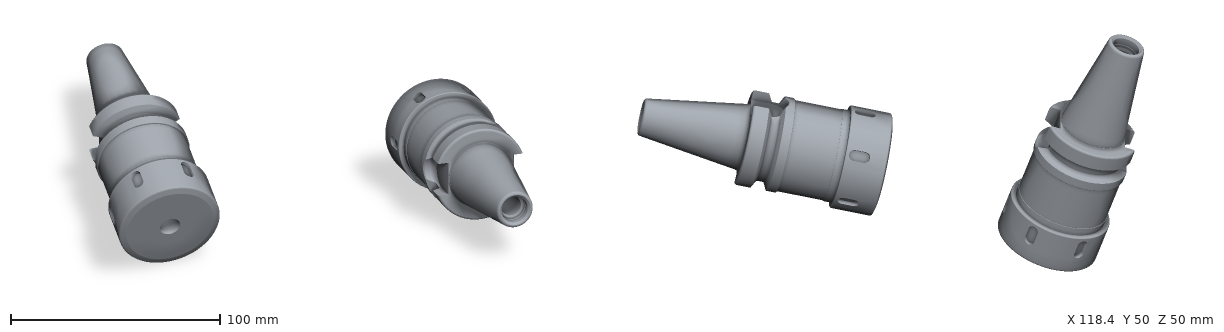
import cadquery as cq
import math

TAPER_END = 49.4
FLANGE_START = 50.3
FRONT_FLANGE_END = 58.0
GROOVE_START = 60.1
GROOVE_END = 63.9
REAR_FLANGE_START = 66.0
REAR_FLANGE_END = 70.6
COLLAR_START = 93.7
NUT_START = 97.5
TOTAL_LENGTH = 118.4

TAPER_SMALL_DIA = 17.9
TAPER_LARGE_DIA = 32.0
NECK_DIA = 32.2
FLANGE_DIA = 46.0
GROOVE_DIA = 38.4
BODY_DIA = 44.4
COLLAR_DIA = 45.0
NUT_DIA = 50.0

TIP_FILLET = 1.4
NECK_FILLET = 0.5
GROOVE_FILLET = 0.5
FLANGE_FILLET = 1.2
REAR_FLANGE_FILLET = 0.5
NUT_BACK_FILLET = 0.5
NUT_FRONT_FILLET = 1.0
NUT_FRONT_DIA = 43.1
NUT_FRONT_SLOPE = 15.0

THROUGH_DIA = 10.1
MOUTH_DIA = 15.3
COUNTERBORE_DIA = 13.1
THREAD_DIA = 12.5
DRILL_MOUTH_DIA = 11.7
COUNTERBORE_END = 4.5
THREAD_END = 5.9

DRIVE_SLOT_WIDTH = 16.3
DRIVE_SLOT_TIP = 67.4
DRIVE_SLOT_FLOOR = 16.3
DRIVE_SLOT_CHAMFER = 0.5

WRENCH_SLOT_COUNT = 6
WRENCH_SLOT_LENGTH = 10.2
WRENCH_SLOT_WIDTH = 5.2
WRENCH_SLOT_DEPTH = 2.1
WRENCH_SLOT_CENTER = 104.2


def revolve_about_x(outline):
    """Turn a closed XY outline about the X axis."""
    return outline.close().revolve(360, (0, 0, 0), (1, 0, 0))


def edges_between(start, end, reach):
    """Select edges lying between two X stations and no further than reach from the axis along Y and Z."""
    margin = 0.01
    half = reach + margin
    return cq.selectors.BoxSelector(
        (start - margin, -half, -half), (end + margin, half, half), boundingbox=True
    )


def holder_blank():
    """Taper, V-groove flange, cylindrical body and collar."""
    outline = (
        cq.Workplane("XY")
        .moveTo(0, 0)
        .lineTo(0, TAPER_SMALL_DIA / 2)
        .lineTo(TAPER_END, TAPER_LARGE_DIA / 2)
        .lineTo(TAPER_END, NECK_DIA / 2)
        .lineTo(FLANGE_START - NECK_FILLET, NECK_DIA / 2)
        .radiusArc((FLANGE_START, NECK_DIA / 2 + NECK_FILLET), -NECK_FILLET)
        .lineTo(FLANGE_START, FLANGE_DIA / 2 - FLANGE_FILLET)
        .radiusArc((FLANGE_START + FLANGE_FILLET, FLANGE_DIA / 2), FLANGE_FILLET)
        .lineTo(FRONT_FLANGE_END, FLANGE_DIA / 2)
        .lineTo(GROOVE_START, GROOVE_DIA / 2)
        .lineTo(GROOVE_END, GROOVE_DIA / 2)
        .lineTo(REAR_FLANGE_START, FLANGE_DIA / 2)
        .lineTo(REAR_FLANGE_END - REAR_FLANGE_FILLET, FLANGE_DIA / 2)
        .radiusArc((REAR_FLANGE_END, FLANGE_DIA / 2 - REAR_FLANGE_FILLET), REAR_FLANGE_FILLET)
        .lineTo(REAR_FLANGE_END, BODY_DIA / 2)
        .lineTo(COLLAR_START, BODY_DIA / 2)
        .lineTo(COLLAR_START, COLLAR_DIA / 2)
        .lineTo(NUT_START, COLLAR_DIA / 2)
        .lineTo(NUT_START, 0)
    )
    blank = revolve_about_x(outline).faces("<X").edges().fillet(TIP_FILLET)
    for station in (GROOVE_START, GROOVE_END):
        groove_edge = edges_between(station, station, GROOVE_DIA / 2)
        blank = blank.edges(groove_edge).fillet(GROOVE_FILLET)
    return blank


def holder_bore():
    """Chamfered counterbore, thread hole and through hole."""
    mouth_depth = (MOUTH_DIA - COUNTERBORE_DIA) / 2
    thread_step = (COUNTERBORE_DIA - THREAD_DIA) / 2
    drill_step = (DRILL_MOUTH_DIA - THROUGH_DIA) / 2
    outline = (
        cq.Workplane("XY")
        .moveTo(0, 0)
        .lineTo(0, MOUTH_DIA / 2)
        .lineTo(mouth_depth, COUNTERBORE_DIA / 2)
        .lineTo(COUNTERBORE_END, COUNTERBORE_DIA / 2)
        .lineTo(COUNTERBORE_END + thread_step, THREAD_DIA / 2)
        .lineTo(THREAD_END, THREAD_DIA / 2)
        .lineTo(THREAD_END, DRILL_MOUTH_DIA / 2)
        .lineTo(THREAD_END + drill_step, THROUGH_DIA / 2)
        .lineTo(NUT_START, THROUGH_DIA / 2)
        .lineTo(NUT_START, 0)
    )
    return revolve_about_x(outline)


def drive_slot(side):
    """Round-ended slot cutter; side is -1 for -Y and +1 for +Y."""
    radius = DRIVE_SLOT_WIDTH / 2
    arc_center = DRIVE_SLOT_TIP - radius
    depth = FLANGE_DIA / 2 - DRIVE_SLOT_FLOOR
    return (
        cq.Workplane("XZ", origin=(0, side * DRIVE_SLOT_FLOOR, 0))
        .moveTo(TAPER_END, -radius)
        .lineTo(arc_center, -radius)
        .threePointArc((DRIVE_SLOT_TIP, 0), (arc_center, radius))
        .lineTo(TAPER_END, radius)
        .close()
        .extrude(-side * depth)
    )


def make_holder():
    holder = holder_blank().cut(holder_bore())
    for side in (-1, 1):
        holder = holder.cut(drive_slot(side))
    slot_rims = edges_between(REAR_FLANGE_START, DRIVE_SLOT_TIP, FLANGE_DIA / 2)
    return holder.edges(slot_rims).edges("%BSPLINE").chamfer(DRIVE_SLOT_CHAMFER)


def wrench_slot(angle):
    """Flat-floored slot cutter at an angle about the X axis, from +Z."""
    floor_radius = NUT_DIA / 2 - WRENCH_SLOT_DEPTH
    return (
        cq.Workplane("XY", origin=(WRENCH_SLOT_CENTER, 0, floor_radius))
        .slot2D(WRENCH_SLOT_LENGTH, WRENCH_SLOT_WIDTH)
        .extrude(NUT_DIA / 2)
        .rotate((0, 0, 0), (1, 0, 0), angle)
    )


def nut_blank():
    """Ring with a small back fillet and a rounded, steep conical front edge."""
    edge_length = (NUT_DIA - NUT_FRONT_DIA) / 2 * math.tan(math.radians(NUT_FRONT_SLOPE))
    outline = (
        cq.Workplane("XY")
        .moveTo(NUT_START, THROUGH_DIA / 2)
        .lineTo(NUT_START, NUT_DIA / 2 - NUT_BACK_FILLET)
        .radiusArc((NUT_START + NUT_BACK_FILLET, NUT_DIA / 2), NUT_BACK_FILLET)
        .lineTo(TOTAL_LENGTH - edge_length, NUT_DIA / 2)
        .lineTo(TOTAL_LENGTH, NUT_FRONT_DIA / 2)
        .lineTo(TOTAL_LENGTH, THROUGH_DIA / 2)
    )
    blank = revolve_about_x(outline)
    largest_circles = cq.selectors.RadiusNthSelector(-1)
    return blank.edges(largest_circles).edges(">X").fillet(NUT_FRONT_FILLET)


def make_nut():
    nut = nut_blank()
    step = 360 / WRENCH_SLOT_COUNT
    for index in range(WRENCH_SLOT_COUNT):
        nut = nut.cut(wrench_slot((index + 0.5) * step))
    return nut


holder = make_holder()
nut = make_nut()

result = cq.Compound.makeCompound([holder.val(), nut.val()])